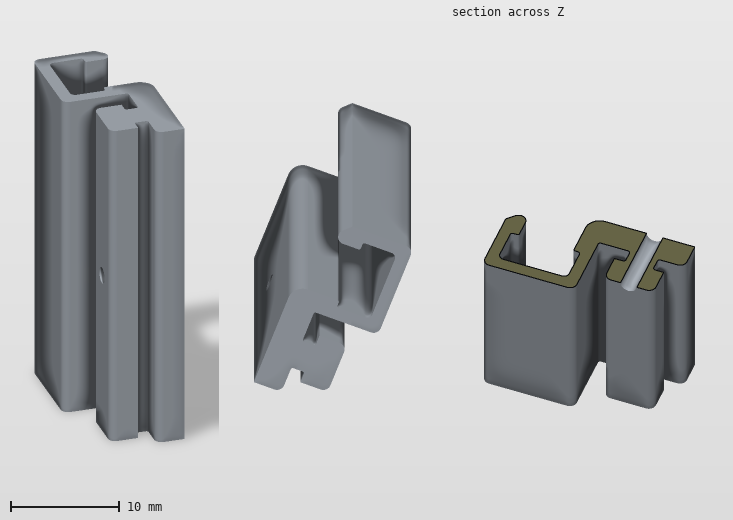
import cadquery as cq
import math

LENGTH = 32.0
WIDTH = 17.5
DEPTH = 9.0

FLOOR_THICKNESS = 1.2
LEFT_WALL_THICKNESS = 1.12
HOOK_WIDTH = 1.9
HOOK_TOP = 6.9
LIP_UNDERSIDE = 4.5
UPPER_WEB_LEFT = 7.23
LOWER_WEB_LEFT = 7.9
WEB_RIGHT = 9.1
TROUGH_CORNER_RADIUS = 0.5

FLANGE_THICKNESS = 2.72
STEM_WIDTH = 2.8
STEM_LENGTH = 1.28
HEAD_WIDTH = 4.9
HEAD_THICKNESS = 2.7
RAIL_CENTER_X = 13.55

OUTER_RADIUS = 0.7
SHOULDER_RADIUS = 1.4
SMALL_RADIUS = 0.2
HOLE_DIAMETER = 1.57

FLANGE_UNDERSIDE = DEPTH - FLANGE_THICKNESS
HEAD_TOP = FLANGE_UNDERSIDE - STEM_LENGTH
HEAD_BOTTOM = HEAD_TOP - HEAD_THICKNESS
STEM_LEFT = RAIL_CENTER_X - STEM_WIDTH / 2
STEM_RIGHT = RAIL_CENTER_X + STEM_WIDTH / 2
HEAD_LEFT = RAIL_CENTER_X - HEAD_WIDTH / 2
HEAD_RIGHT = RAIL_CENTER_X + HEAD_WIDTH / 2


def extrude_outline(sketch):
    return sketch.close().extrude(LENGTH)


def round_edges(body, corners, radius):
    """Round the lengthwise edges that pass through the given (x, y) corners."""
    for x, y in corners:
        edge = cq.selectors.NearestToPointSelector((x, y, LENGTH / 2))
        body = body.edges("|Z").edges(edge).fillet(radius)
    return body


def make_channel_and_flange():
    arc_x = HOOK_WIDTH - OUTER_RADIUS
    arc_y = HOOK_TOP - OUTER_RADIUS
    diagonal = OUTER_RADIUS * math.sqrt(0.5)
    bevel_end = (arc_x - diagonal, arc_y + diagonal)
    bevel_start = (0, bevel_end[1] - bevel_end[0])
    tip_middle_angle = math.radians(67.5)
    tip_middle = (
        arc_x + OUTER_RADIUS * math.cos(tip_middle_angle),
        arc_y + OUTER_RADIUS * math.sin(tip_middle_angle),
    )

    body = extrude_outline(
        cq.Workplane("XY")
        .moveTo(0, 0)
        .lineTo(*bevel_start)
        .lineTo(*bevel_end)
        .threePointArc(tip_middle, (HOOK_WIDTH, arc_y))
        .lineTo(HOOK_WIDTH, LIP_UNDERSIDE)
        .lineTo(LEFT_WALL_THICKNESS, LIP_UNDERSIDE)
        .lineTo(LEFT_WALL_THICKNESS, FLOOR_THICKNESS)
        .lineTo(LOWER_WEB_LEFT, FLOOR_THICKNESS)
        .lineTo(LOWER_WEB_LEFT, LIP_UNDERSIDE)
        .lineTo(UPPER_WEB_LEFT, LIP_UNDERSIDE)
        .lineTo(UPPER_WEB_LEFT, DEPTH)
        .lineTo(WIDTH, DEPTH)
        .lineTo(WIDTH, FLANGE_UNDERSIDE)
        .lineTo(WEB_RIGHT, FLANGE_UNDERSIDE)
        .lineTo(WEB_RIGHT, 0)
    )
    outer_corners = [(0, 0), (WEB_RIGHT, 0), (WIDTH, FLANGE_UNDERSIDE)]
    trough_corners = [(LEFT_WALL_THICKNESS, FLOOR_THICKNESS), (LOWER_WEB_LEFT, FLOOR_THICKNESS)]
    body = round_edges(body, outer_corners, OUTER_RADIUS)
    body = round_edges(body, trough_corners, TROUGH_CORNER_RADIUS)
    return round_edges(body, [(UPPER_WEB_LEFT, DEPTH)], SHOULDER_RADIUS)


def round_small_corners(body):
    """Soften the corners of both lips, the web root and the ends of the rail stem."""
    lip_corner_xs = [LEFT_WALL_THICKNESS, HOOK_WIDTH, UPPER_WEB_LEFT, LOWER_WEB_LEFT]
    lip_corners = [(x, LIP_UNDERSIDE) for x in lip_corner_xs]
    root_corners = [(x, FLANGE_UNDERSIDE) for x in (WEB_RIGHT, STEM_LEFT, STEM_RIGHT)]
    neck_corners = [(x, HEAD_TOP) for x in (STEM_LEFT, STEM_RIGHT)]
    return round_edges(body, lip_corners + root_corners + neck_corners, SMALL_RADIUS)


def make_rail():
    body = extrude_outline(
        cq.Workplane("XY")
        .moveTo(STEM_LEFT, FLANGE_UNDERSIDE)
        .lineTo(STEM_RIGHT, FLANGE_UNDERSIDE)
        .lineTo(STEM_RIGHT, HEAD_TOP)
        .lineTo(HEAD_RIGHT, HEAD_TOP)
        .lineTo(HEAD_RIGHT, HEAD_BOTTOM)
        .lineTo(HEAD_LEFT, HEAD_BOTTOM)
        .lineTo(HEAD_LEFT, HEAD_TOP)
        .lineTo(STEM_LEFT, HEAD_TOP)
    )
    return round_edges(body, [(HEAD_LEFT, HEAD_BOTTOM), (HEAD_RIGHT, HEAD_BOTTOM)], OUTER_RADIUS)


def make_cross_hole():
    """Cylinder along Y through the rail and flange at mid-length."""
    return (
        cq.Workplane("XZ")
        .center(RAIL_CENTER_X, LENGTH / 2)
        .circle(HOLE_DIAMETER / 2)
        .extrude(-DEPTH)
    )


profile_body = round_small_corners(make_channel_and_flange().union(make_rail()))
result = profile_body.cut(make_cross_hole())